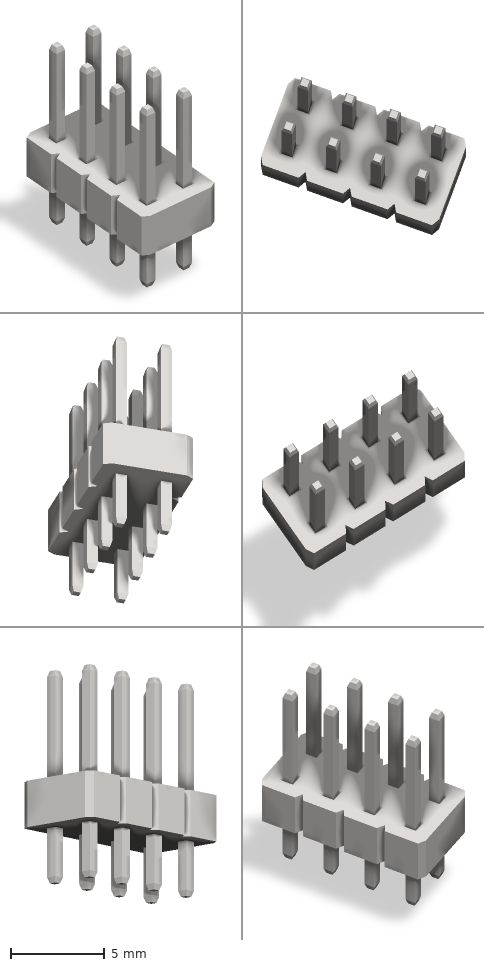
import cadquery as cq

pitch = 2.54
columns = 4
rows = 2

housing_width = rows * pitch
housing_height = pitch
notch_half_width = 0.24
notch_depth = 0.43

pin_length = 11.6
pin_side = 0.6
pin_below_housing = 3.0
taper_length = 0.32
tip_side = 0.4

hole_side = 0.64
mouth_depth = 0.09
mouth_side = hole_side + 2 * mouth_depth

column_centers = [(column - (columns - 1) / 2) * pitch for column in range(columns)]
row_centers = [(row - (rows - 1) / 2) * pitch for row in range(rows)]
pin_centers = [(x, y) for x in column_centers for y in row_centers]


def square_bar(side, height, bottom_z):
    """Square bar on the Z axis, rising from bottom_z."""
    return cq.Workplane("XY", origin=(0, 0, bottom_z)).rect(side, side).extrude(height)


def square_frustum(bottom_side, top_side, height, bottom_z):
    """Square frustum on the Z axis, rising from bottom_z."""
    return (
        cq.Workplane("XY", origin=(0, 0, bottom_z))
        .rect(bottom_side, bottom_side)
        .workplane(offset=height)
        .rect(top_side, top_side)
        .loft(ruled=True)
    )


def make_segment(center_x):
    """One column of the housing: an octagon whose cut corners form the notches and end bevels."""
    half_length = pitch / 2
    half_width = housing_width / 2
    shoulder_x = half_length - notch_half_width
    shoulder_y = half_width - notch_depth
    outline = [
        (-shoulder_x, -half_width),
        (shoulder_x, -half_width),
        (half_length, -shoulder_y),
        (half_length, shoulder_y),
        (shoulder_x, half_width),
        (-shoulder_x, half_width),
        (-half_length, shoulder_y),
        (-half_length, -shoulder_y),
    ]
    return cq.Workplane("XY", origin=(center_x, 0, 0)).polyline(outline).close().extrude(housing_height)


def make_flared_hole():
    """Cutter for one pin hole on the Z axis, through the housing and wider at the top."""
    mouth = square_frustum(hole_side, mouth_side, mouth_depth, housing_height - mouth_depth)
    return square_bar(hole_side, housing_height, 0).union(mouth)


def make_housing():
    """Row of segments joined into one block, with a flared square hole for each pin."""
    block = cq.Workplane("XY")
    for center_x in column_centers:
        block = block.union(make_segment(center_x))
    block = block.clean()

    flared_hole = make_flared_hole()
    for x, y in pin_centers:
        block = block.cut(flared_hole.translate((x, y, 0)))
    return block


def make_pin(x, y):
    """Square bar tapered at both ends, standing at (x, y)."""
    bottom_z = -pin_below_housing
    shaft_bottom_z = bottom_z + taper_length
    shaft_top_z = bottom_z + pin_length - taper_length
    shaft = square_bar(pin_side, shaft_top_z - shaft_bottom_z, shaft_bottom_z)
    lower_taper = square_frustum(tip_side, pin_side, taper_length, bottom_z)
    upper_taper = square_frustum(pin_side, tip_side, taper_length, shaft_top_z)
    return shaft.union(lower_taper).union(upper_taper).translate((x, y, 0))


housing = make_housing()
pins = [make_pin(x, y) for x, y in pin_centers]

result = cq.Compound.makeCompound([housing.solids().val(), *[pin.solids().val() for pin in pins]])